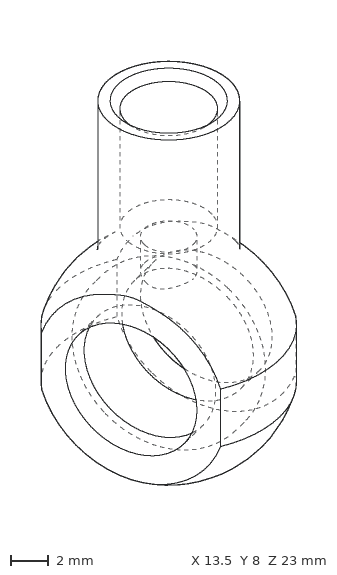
import cadquery as cq
import math

ball_radius = 7.0
waist_diameter = 13.5
ring_width = 8.0
ring_hole_diameter = 8.0

groove_width = 4.0
groove_depth = 1.4
groove_floor_width = 0.83

total_height = 23.0
neck_diameter = 7.5
neck_fillet = 1.5
bore_diameter = 5.15
mouth_diameter = 6.19
mouth_depth = 0.5
passage_diameter = 3.0
shoulder_height = 8.0
shoulder_cone_angle = 120.0

neck_radius = neck_diameter / 2
bore_radius = bore_diameter / 2
passage_radius = passage_diameter / 2
neck_top = total_height - ball_radius
fillet_center_x = neck_radius + neck_fillet
fillet_center_z = ((ball_radius + neck_fillet) ** 2 - fillet_center_x**2) ** 0.5
diagonal = 0.5**0.5


def make_body():
    """Ball with a flared neck on top, its waist trimmed round and its two faces flat."""
    ball_share = ball_radius / (ball_radius + neck_fillet)
    foot = (fillet_center_x * ball_share, fillet_center_z * ball_share)
    waist_radius = waist_diameter / 2
    waist_half_height = (ball_radius**2 - waist_radius**2) ** 0.5
    ball_middle = ball_radius * diagonal
    turned = (
        cq.Workplane("XZ")
        .moveTo(0, -ball_radius)
        .threePointArc((ball_middle, -ball_middle), (waist_radius, -waist_half_height))
        .lineTo(waist_radius, waist_half_height)
        .threePointArc((ball_middle, ball_middle), foot)
        .radiusArc((neck_radius, fillet_center_z), neck_fillet)
        .lineTo(neck_radius, neck_top)
        .lineTo(0, neck_top)
        .close()
        .revolve(360, (0, 0), (0, 1))
    )
    flat_faces = cq.Workplane("XY").box(2 * total_height, ring_width, 2 * total_height)
    return turned.intersect(flat_faces)


def make_bore():
    """Stepped bore: conical mouth, main bore, conical shoulder and narrow passage."""
    half_angle = math.radians(shoulder_cone_angle / 2)
    cone_depth = (bore_radius - passage_radius) / math.tan(half_angle)
    return (
        cq.Workplane("XZ")
        .lineTo(passage_radius, 0)
        .lineTo(passage_radius, shoulder_height - cone_depth)
        .lineTo(bore_radius, shoulder_height)
        .lineTo(bore_radius, neck_top - mouth_depth)
        .lineTo(mouth_diameter / 2, neck_top)
        .lineTo(0, neck_top)
        .close()
        .revolve(360, (0, 0), (0, 1))
    )


def make_ring_hole():
    """Hole along Y with a round-cornered groove at mid width."""
    hole_radius = ring_hole_diameter / 2
    half_width = ring_width / 2
    half_floor = groove_floor_width / 2
    half_groove = groove_width / 2
    groove_radius = hole_radius + groove_depth
    wall_width = half_groove - half_floor
    wall_round = (wall_width**2 + groove_depth**2) / (2 * groove_depth)
    wall_middle_x = groove_radius - wall_round * (1 - diagonal)
    wall_middle_y = half_floor + wall_round * diagonal
    return (
        cq.Workplane("XY")
        .moveTo(0, -half_width)
        .lineTo(hole_radius, -half_width)
        .lineTo(hole_radius, -half_groove)
        .threePointArc((wall_middle_x, -wall_middle_y), (groove_radius, -half_floor))
        .lineTo(groove_radius, half_floor)
        .threePointArc((wall_middle_x, wall_middle_y), (hole_radius, half_groove))
        .lineTo(hole_radius, half_width)
        .lineTo(0, half_width)
        .close()
        .revolve(360, (0, 0), (0, 1))
    )


result = make_body().cut(make_bore()).cut(make_ring_hole())